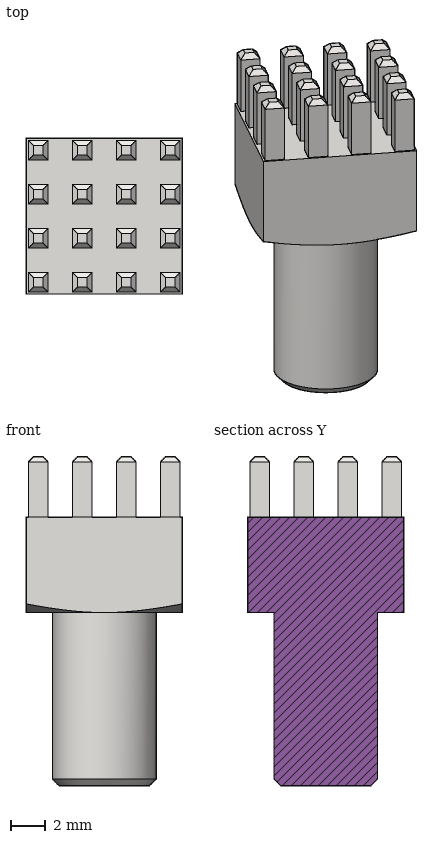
import cadquery as cq
import math

shank_diameter = 6.0
shank_length = 10.0
shank_chamfer = 0.4

head_side = 9.0
head_height = 5.5
head_bevel_angle = 15.0

pins_per_side = 4
pin_pitch = 2.54
pin_side = 1.14
pin_height = 3.5
pin_tip_height = 0.3
pin_tip_inset = 0.3

head_top = shank_length + head_height


def make_shank():
    shank = cq.Workplane("XY").circle(shank_diameter / 2).extrude(shank_length)
    return shank.faces("<Z").chamfer(shank_chamfer)


def make_head():
    """Square block whose lower corners are trimmed by a shallow cone."""
    block = (
        cq.Workplane("XY")
        .workplane(offset=shank_length)
        .rect(head_side, head_side)
        .extrude(head_height)
    )
    inner_radius = head_side / 2
    outer_radius = head_side
    bevel_rise = (outer_radius - inner_radius) * math.tan(math.radians(head_bevel_angle))
    envelope = (
        cq.Workplane("XZ")
        .moveTo(0, shank_length)
        .lineTo(inner_radius, shank_length)
        .lineTo(outer_radius, shank_length + bevel_rise)
        .lineTo(outer_radius, head_top)
        .lineTo(0, head_top)
        .close()
        .revolve(360, (0, 0, 0), (0, 1, 0))
    )
    return block.intersect(envelope)


def make_pins():
    """Square grid of pins, each ending in a truncated pyramid."""
    body_height = pin_height - pin_tip_height
    tip_side = pin_side - 2 * pin_tip_inset
    body = cq.Workplane("XY").workplane(offset=head_top).rect(pin_side, pin_side).extrude(body_height)
    tip = (
        cq.Workplane("XY")
        .workplane(offset=head_top + body_height)
        .rect(pin_side, pin_side)
        .workplane(offset=pin_tip_height)
        .rect(tip_side, tip_side)
        .loft(ruled=True)
    )
    pin = body.union(tip).val()
    return (
        cq.Workplane("XY")
        .rarray(pin_pitch, pin_pitch, pins_per_side, pins_per_side)
        .eachpoint(lambda location: pin.moved(location))
    )


result = make_shank().union(make_head()).union(make_pins())